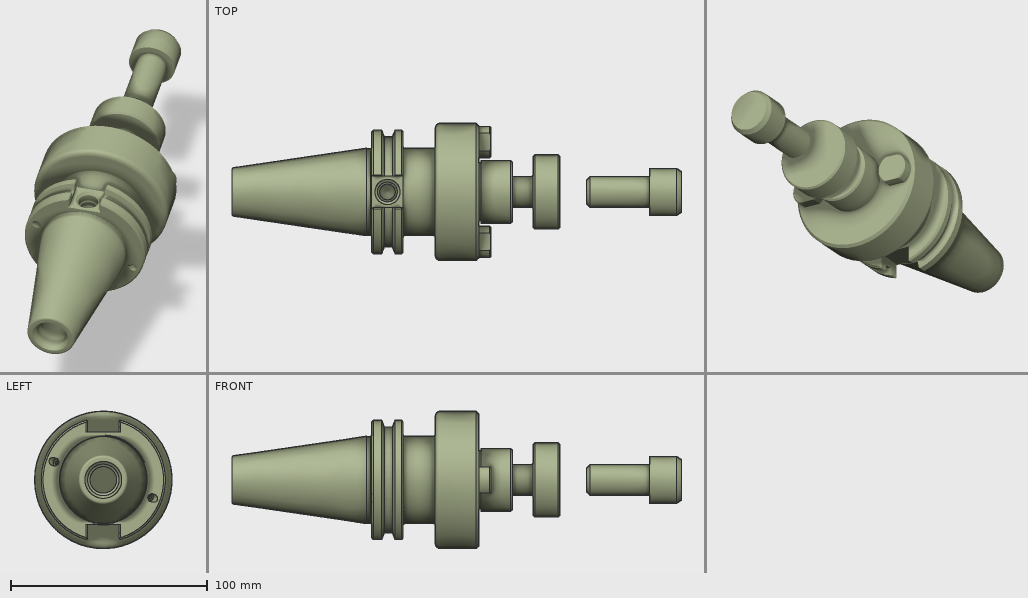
import cadquery as cq
import math

TAPER_END = 68.3
GRIPPER_FRONT = 71.0
GRIPPER_BACK = 87.0
COLLAR_FRONT = 103.3
COLLAR_BACK = 125.5
PILOT_START = 126.5
PILOT_END = 142.5
CLAMP_DISC_FRONT = 153.0
CLAMP_DISC_BACK = 166.5
BOLT_TIP = 180.0
BOLT_HEAD_FRONT = 212.2
BOLT_END = 228.5

TAPER_SMALL_RADIUS = 24.5 / 2
TAPER_LARGE_RADIUS = 44.5 / 2
TAPER_TIP_FILLET = 1.4
NECK_RADIUS = TAPER_LARGE_RADIUS
TAPER_RELIEF = 0.2
ROOT_FILLET = 0.7

GRIPPER_RADIUS = 31.5
GRIPPER_CHAMFER = 1.0
GROOVE_RADIUS = 28.0
GROOVE_MOUTH_START = 76.0
GROOVE_FLOOR_START = 77.5
GROOVE_FLOOR_END = 81.5
GROOVE_MOUTH_END = 83.0

COLLAR_RADIUS = 35.0
COLLAR_FRONT_FILLET = 2.7
COLLAR_BACK_CHAMFER = 1.4
RELIEF_RADIUS = 14.8
PILOT_RADIUS = 16.0
PILOT_CHAMFER = 1.0

BORE_MOUTH_RADIUS = 9.4
COUNTERBORE_RADIUS = 8.0
BORE_RADIUS = 13.5 / 2
BORE_MOUTH_DEPTH = 2.0
COUNTERBORE_DEPTH = 5.3
BORE_DEPTH = 32.0

SLOT_WIDTH = 16.0
SLOT_CHAMFER = 0.7
UPPER_SLOT_HEIGHT = 24.5
LOWER_SLOT_HEIGHT = 22.6
CHIP_HOLE_MOUTH_DIAMETER = 12.8
CHIP_HOLE_DIAMETER = 10.0
CHIP_HOLE_DEPTH = 5.0
CHIP_DRILL_DIAMETER = 8.0
CHIP_DRILL_DEPTH = 7.3
DRILL_POINT_ANGLE = 118

COOLANT_HOLE_RADIUS = 2.0
COOLANT_CIRCLE_RADIUS = 26.7
COOLANT_CLOCKING = 20.2
COOLANT_CLOCKINGS = [COOLANT_CLOCKING, COOLANT_CLOCKING + 180]
COOLANT_TILT = 36
SET_SCREW_RECESS = 2.5
SET_SCREW_LENGTH = 6.0
SET_SCREW_SOCKET_DIAMETER = 2.3
SET_SCREW_SOCKET_DEPTH = 1.8

DOG_RADIUS = 8.0
DOG_THICKNESS = 13.3
DOG_HEIGHT = 6.2
DOG_CHAMFER = 0.7
DOG_OFFSET = 25.4

SHANK_RADIUS = 15.8 / 2
CLAMP_DISC_RADIUS = 19.0
CLAMP_DISC_CHAMFER = 1.0
CLAMP_FILLET = 1.1
BOLT_TIP_RADIUS = 6.0
BOLT_HEAD_RADIUS = 24.0 / 2
BOLT_HEAD_END_RADIUS = 10.3
BOLT_HEAD_TAPER = 2.5


def revolve_about_x(profile):
    return profile.close().revolve(360, (0, 0, 0), (1, 0, 0))


def holder_blank():
    """Turned outer shape of the holder, from the taper to the pilot."""
    relieved_radius = TAPER_LARGE_RADIUS - TAPER_RELIEF
    profile = (
        cq.Workplane("XY")
        .moveTo(0, 0)
        .lineTo(0, TAPER_SMALL_RADIUS)
        .lineTo(TAPER_END, TAPER_LARGE_RADIUS)
        .lineTo(TAPER_END, relieved_radius)
        .lineTo(GRIPPER_FRONT - ROOT_FILLET, relieved_radius)
        .radiusArc((GRIPPER_FRONT, relieved_radius + ROOT_FILLET), -ROOT_FILLET)
        .lineTo(GRIPPER_FRONT, GRIPPER_RADIUS - GRIPPER_CHAMFER)
        .lineTo(GRIPPER_FRONT + GRIPPER_CHAMFER, GRIPPER_RADIUS)
        .lineTo(GROOVE_MOUTH_START, GRIPPER_RADIUS)
        .lineTo(GROOVE_FLOOR_START, GROOVE_RADIUS)
        .lineTo(GROOVE_FLOOR_END, GROOVE_RADIUS)
        .lineTo(GROOVE_MOUTH_END, GRIPPER_RADIUS)
        .lineTo(GRIPPER_BACK - GRIPPER_CHAMFER, GRIPPER_RADIUS)
        .lineTo(GRIPPER_BACK, GRIPPER_RADIUS - GRIPPER_CHAMFER)
        .lineTo(GRIPPER_BACK, NECK_RADIUS + ROOT_FILLET)
        .radiusArc((GRIPPER_BACK + ROOT_FILLET, NECK_RADIUS), -ROOT_FILLET)
        .lineTo(COLLAR_FRONT - ROOT_FILLET, NECK_RADIUS)
        .radiusArc((COLLAR_FRONT, NECK_RADIUS + ROOT_FILLET), -ROOT_FILLET)
        .lineTo(COLLAR_FRONT, COLLAR_RADIUS - COLLAR_FRONT_FILLET)
        .radiusArc((COLLAR_FRONT + COLLAR_FRONT_FILLET, COLLAR_RADIUS), COLLAR_FRONT_FILLET)
        .lineTo(COLLAR_BACK - COLLAR_BACK_CHAMFER, COLLAR_RADIUS)
        .lineTo(COLLAR_BACK, COLLAR_RADIUS - COLLAR_BACK_CHAMFER)
        .lineTo(COLLAR_BACK, RELIEF_RADIUS)
        .lineTo(PILOT_START, RELIEF_RADIUS)
        .lineTo(PILOT_START, PILOT_RADIUS)
        .lineTo(PILOT_END - PILOT_CHAMFER, PILOT_RADIUS)
        .lineTo(PILOT_END, PILOT_RADIUS - PILOT_CHAMFER)
        .lineTo(PILOT_END, 0)
    )
    return revolve_about_x(profile).faces("<X").edges().fillet(TAPER_TIP_FILLET)


def stud_bore():
    """Stepped blind bore with chamfered steps, opening at the small end of the taper."""
    step_depth = COUNTERBORE_DEPTH + COUNTERBORE_RADIUS - BORE_RADIUS
    profile = (
        cq.Workplane("XY")
        .moveTo(0, 0)
        .lineTo(0, BORE_MOUTH_RADIUS)
        .lineTo(BORE_MOUTH_DEPTH, COUNTERBORE_RADIUS)
        .lineTo(COUNTERBORE_DEPTH, COUNTERBORE_RADIUS)
        .lineTo(step_depth, BORE_RADIUS)
        .lineTo(BORE_DEPTH, BORE_RADIUS)
        .lineTo(BORE_DEPTH, 0)
    )
    return revolve_about_x(profile)


def driving_slot(floor):
    """Cutter for a slot along the gripper flange, with chamfers where its walls meet the outside."""
    half = SLOT_WIDTH / 2
    flared = half + SLOT_CHAMFER
    front = GRIPPER_FRONT + SLOT_CHAMFER
    back = GRIPPER_BACK - SLOT_CHAMFER
    plan = [
        (GRIPPER_FRONT, -flared),
        (front, -half),
        (back, -half),
        (GRIPPER_BACK, -flared),
        (GRIPPER_BACK, flared),
        (back, half),
        (front, half),
        (GRIPPER_FRONT, flared),
    ]
    slot = cq.Workplane("XY", origin=(0, 0, floor)).polyline(plan).close().extrude(GRIPPER_RADIUS - floor)

    wall_top = math.sqrt(GRIPPER_RADIUS**2 - half**2)
    flare_start = wall_top - SLOT_CHAMFER
    rise = GRIPPER_RADIUS - flare_start
    flare = [
        (-half, flare_start),
        (half, flare_start),
        (half + rise, GRIPPER_RADIUS),
        (-half - rise, GRIPPER_RADIUS),
    ]
    length = GRIPPER_BACK - GRIPPER_FRONT
    mouth = cq.Workplane("YZ", origin=(GRIPPER_FRONT, 0, 0)).polyline(flare).close().extrude(length)
    return slot.union(mouth)


def chip_hole():
    """Chamfered counterbore and drilled hole, going down from the upper slot floor."""
    mouth_radius = CHIP_HOLE_MOUTH_DIAMETER / 2
    hole_radius = CHIP_HOLE_DIAMETER / 2
    drill_radius = CHIP_DRILL_DIAMETER / 2
    point_length = drill_radius / math.tan(math.radians(DRILL_POINT_ANGLE / 2))
    middle = (GRIPPER_FRONT + GRIPPER_BACK) / 2
    return (
        cq.Workplane("XZ", origin=(middle, 0, UPPER_SLOT_HEIGHT))
        .moveTo(0, 0)
        .lineTo(mouth_radius, 0)
        .lineTo(hole_radius, hole_radius - mouth_radius)
        .lineTo(hole_radius, -CHIP_HOLE_DEPTH)
        .lineTo(drill_radius, -CHIP_HOLE_DEPTH)
        .lineTo(drill_radius, -CHIP_DRILL_DEPTH)
        .lineTo(0, -CHIP_DRILL_DEPTH - point_length)
        .close()
        .revolve(360, (0, 0, 0), (0, 1, 0))
    )


def coolant_plane(clocking, depth):
    """Plane across a coolant hole, at a depth along its axis, which slants in towards the X axis."""
    tilt = math.radians(COOLANT_TILT)
    angle = math.radians(clocking)
    outward = cq.Vector(0, math.cos(angle), math.sin(angle))
    inward = cq.Vector(math.cos(tilt), 0, 0) - outward * math.sin(tilt)
    mouth = cq.Vector(GRIPPER_FRONT, 0, 0) + outward * COOLANT_CIRCLE_RADIUS
    across = cq.Vector(0, -math.sin(angle), math.cos(angle))
    return cq.Plane(origin=mouth + inward * depth, xDir=across, normal=inward)


def coolant_hole(clocking):
    overshoot = COOLANT_HOLE_RADIUS
    length = overshoot + SET_SCREW_RECESS + SET_SCREW_LENGTH
    return cq.Workplane(coolant_plane(clocking, -overshoot)).circle(COOLANT_HOLE_RADIUS).extrude(length)


def make_set_screw(clocking):
    """Socket set screw that fills a coolant hole below its recess."""
    plane = coolant_plane(clocking, SET_SCREW_RECESS)
    body = cq.Workplane(plane).circle(COOLANT_HOLE_RADIUS).extrude(SET_SCREW_LENGTH)
    socket = cq.Workplane(plane).polygon(6, SET_SCREW_SOCKET_DIAMETER).extrude(SET_SCREW_SOCKET_DEPTH)
    return body.cut(socket)


def make_holder():
    upper_slot = driving_slot(UPPER_SLOT_HEIGHT)
    lower_slot = driving_slot(LOWER_SLOT_HEIGHT).rotate((0, 0, 0), (1, 0, 0), 180)
    body = holder_blank().cut(stud_bore()).cut(upper_slot).cut(lower_slot).cut(chip_hole())
    for clocking in COOLANT_CLOCKINGS:
        body = body.cut(coolant_hole(clocking))
    return body


def make_dog(side):
    """Round driving dog with two parallel flats, standing on the back face of the collar."""
    base = cq.Workplane("YZ", origin=(COLLAR_BACK, side * DOG_OFFSET, 0))
    dog = base.circle(DOG_RADIUS).extrude(DOG_HEIGHT).faces(">X").chamfer(DOG_CHAMFER)
    between_flats = base.rect(2 * DOG_RADIUS, DOG_THICKNESS).extrude(DOG_HEIGHT)
    return dog.intersect(between_flats)


def make_clamp_screw():
    """Clamping disc on a shank that meets the end face of the pilot."""
    profile = (
        cq.Workplane("XY")
        .moveTo(PILOT_END, 0)
        .lineTo(PILOT_END, SHANK_RADIUS)
        .lineTo(CLAMP_DISC_FRONT - CLAMP_FILLET, SHANK_RADIUS)
        .radiusArc((CLAMP_DISC_FRONT, SHANK_RADIUS + CLAMP_FILLET), -CLAMP_FILLET)
        .lineTo(CLAMP_DISC_FRONT, CLAMP_DISC_RADIUS - CLAMP_DISC_CHAMFER)
        .lineTo(CLAMP_DISC_FRONT + CLAMP_DISC_CHAMFER, CLAMP_DISC_RADIUS)
        .lineTo(CLAMP_DISC_BACK - CLAMP_DISC_CHAMFER, CLAMP_DISC_RADIUS)
        .lineTo(CLAMP_DISC_BACK, CLAMP_DISC_RADIUS - CLAMP_DISC_CHAMFER)
        .lineTo(CLAMP_DISC_BACK, 0)
    )
    return revolve_about_x(profile)


def make_cap_bolt():
    """Loose bolt with a chamfered tip and a head that tapers at its end."""
    tip_chamfer = SHANK_RADIUS - BOLT_TIP_RADIUS
    profile = (
        cq.Workplane("XY")
        .moveTo(BOLT_TIP, 0)
        .lineTo(BOLT_TIP, BOLT_TIP_RADIUS)
        .lineTo(BOLT_TIP + tip_chamfer, SHANK_RADIUS)
        .lineTo(BOLT_HEAD_FRONT, SHANK_RADIUS)
        .lineTo(BOLT_HEAD_FRONT, BOLT_HEAD_RADIUS)
        .lineTo(BOLT_END - BOLT_HEAD_TAPER, BOLT_HEAD_RADIUS)
        .lineTo(BOLT_END, BOLT_HEAD_END_RADIUS)
        .lineTo(BOLT_END, 0)
    )
    return revolve_about_x(profile)


holder = make_holder()
set_screws = [make_set_screw(clocking) for clocking in COOLANT_CLOCKINGS]
dogs = [make_dog(side) for side in (1, -1)]
clamp_screw = make_clamp_screw()
cap_bolt = make_cap_bolt()

result = cq.Compound.makeCompound(
    [
        holder.val(),
        *[screw.val() for screw in set_screws],
        *[dog.val() for dog in dogs],
        clamp_screw.val(),
        cap_bolt.val(),
    ]
)